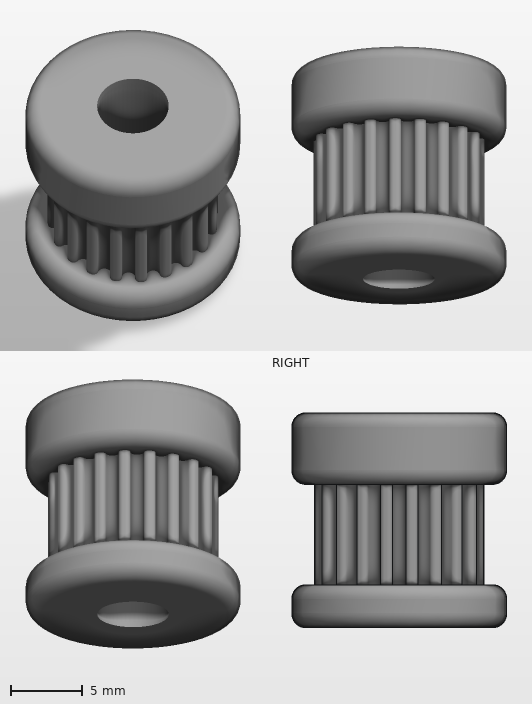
import cadquery as cq
import math

flange_diameter = 15.0
total_height = 15.0
bore_diameter = 5.0
lower_flange_height = 3.0
upper_flange_height = 5.0
edge_radius = 1.0

tooth_count = 20
tip_radius = 5.97
groove_radius = 0.46
groove_depth = 0.9
tip_round = 0.35

tooth_pitch_angle = 360.0 / tooth_count
drum_height = total_height - lower_flange_height - upper_flange_height
upper_flange_base = lower_flange_height + drum_height


def flange(base, height):
    """Disc with both rims rounded."""
    disc = cq.Workplane("XY").workplane(offset=base).circle(flange_diameter / 2).extrude(height)
    return disc.edges().fillet(edge_radius)


def on_circle(radius, angle):
    """Point at a radius and an angle in degrees from +X."""
    return (radius * math.cos(math.radians(angle)), radius * math.sin(math.radians(angle)))


def toothed_drum():
    """Drum with round-bottomed, straight-sided grooves and rounded tooth tips."""
    drum = cq.Workplane("XY").workplane(offset=lower_flange_height).circle(tip_radius).extrude(drum_height)
    groove_center = tip_radius - groove_depth + groove_radius
    groove_end = tip_radius + groove_radius
    groove = (
        cq.Workplane("XY")
        .workplane(offset=lower_flange_height)
        .moveTo(groove_end, -groove_radius)
        .lineTo(groove_center, -groove_radius)
        .threePointArc((groove_center - groove_radius, 0), (groove_center, groove_radius))
        .lineTo(groove_end, groove_radius)
        .close()
        .extrude(drum_height)
    )
    for index in range(tooth_count):
        drum = drum.cut(groove.rotate((0, 0, 0), (0, 0, 1), index * tooth_pitch_angle))

    corner_angle = math.degrees(math.asin(groove_radius / tip_radius))
    corners = [
        on_circle(tip_radius, index * tooth_pitch_angle + side * corner_angle)
        for index in range(tooth_count)
        for side in (-1, 1)
    ]
    middle_height = lower_flange_height + drum_height / 2
    tip_edges = [
        drum.edges(cq.selectors.NearestToPointSelector((x, y, middle_height))).val()
        for x, y in corners
    ]
    return drum.newObject(tip_edges).fillet(tip_round)


body = (
    toothed_drum()
    .union(flange(0, lower_flange_height))
    .union(flange(upper_flange_base, upper_flange_height))
)
bore = cq.Workplane("XY").circle(bore_diameter / 2).extrude(total_height)
result = body.cut(bore)